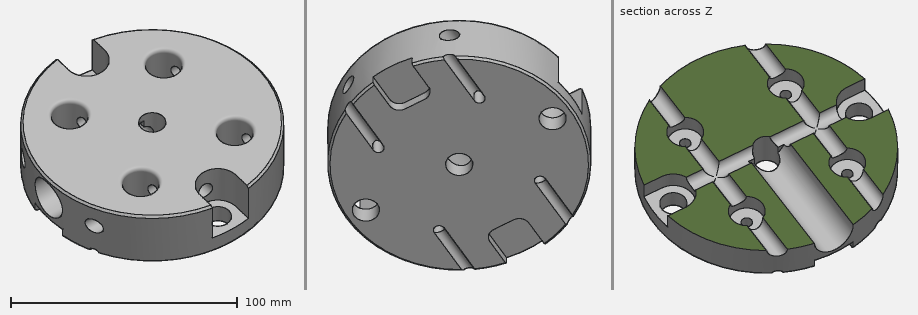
import cadquery as cq
import math

disc_diameter = 116.0
disc_height = 29.0
edge_chamfer = 1.0

bore_diameter = 12.0
pocket_spacing = 52.0
pocket_diameter = 16.0
pocket_lip_radius = 2.0
pocket_depth = 20.0
drain_diameter = 5.0

slot_width = 20.0
slot_depth = 20.0
slot_center_x = 48.0

bore_depth_below_top = 12.0
bore_level = disc_height - bore_depth_below_top
cross_bore_diameter = 8.0
port_diameter = 20.0

notch_width = 20.0
notch_height = 5.0
notch_corner_radius = 5.0
notch_length = 20.0

disc_radius = disc_diameter / 2
pocket_offset = pocket_spacing / 2
pocket_points = [(x, y) for x in (-pocket_offset, pocket_offset) for y in (-pocket_offset, pocket_offset)]


def make_disc():
    disc = cq.Workplane("XY").circle(disc_radius).extrude(disc_height)
    return disc.faces("<Z or >Z").edges().chamfer(edge_chamfer)


def bore_along_y(x, z, diameter, start_y, end_y):
    """Cylinder parallel to Y between two Y positions."""
    plane = cq.Workplane("XZ", origin=(x, start_y, z))
    return plane.circle(diameter / 2).extrude(start_y - end_y)


def cut_top_slots(body):
    """Round-ended slots, open to the rim at both X sides."""
    for side in (-1, 1):
        center_x = side * slot_center_x
        slot = cq.Workplane("XY").center(center_x, 0).circle(slot_width / 2).extrude(slot_depth)
        run_out = cq.Workplane("XY").center(center_x + side * slot_width / 2, 0)
        slot = slot.union(run_out.rect(slot_width, slot_width).extrude(slot_depth))
        body = body.cut(slot.translate((0, 0, disc_height - slot_depth)))
    return body


def cut_vertical_bores(body):
    """Centre bore and one bore in the floor of each top slot."""
    points = [(-slot_center_x, 0), (0, 0), (slot_center_x, 0)]
    bores = cq.Workplane("XY").pushPoints(points).circle(bore_diameter / 2).extrude(disc_height)
    return body.cut(bores)


def cut_pockets(body):
    """Round pockets with a rounded lip and a small through hole in the floor."""
    inner = pocket_diameter / 2
    outer = inner + pocket_lip_radius
    lip_middle = pocket_lip_radius * math.sqrt(0.5)
    floor_z = disc_height - pocket_depth
    pocket = (
        cq.Workplane("XZ")
        .moveTo(0, floor_z)
        .lineTo(inner, floor_z)
        .lineTo(inner, disc_height - pocket_lip_radius)
        .threePointArc(
            (outer - lip_middle, disc_height - pocket_lip_radius + lip_middle),
            (outer, disc_height),
        )
        .lineTo(0, disc_height)
        .close()
        .revolve(360, (0, 0, 0), (0, 1, 0))
    )
    drain = cq.Workplane("XY").circle(drain_diameter / 2).extrude(disc_height)
    tool = pocket.union(drain)
    for x, y in pocket_points:
        body = body.cut(tool.translate((x, y, 0)))
    return body


def cut_drain_grooves(body):
    """Half-round grooves in the bottom face, from each small hole out to the rim."""
    groove_radius = drain_diameter / 2
    for x, y in pocket_points:
        start_y = y if y > 0 else -disc_radius
        groove = (
            cq.Workplane("XZ", origin=(x, start_y, 0))
            .moveTo(-groove_radius, 0)
            .threePointArc((0, groove_radius), (groove_radius, 0))
            .close()
            .extrude(pocket_offset - disc_radius)
        )
        body = body.cut(groove)
    return body


def cut_cross_bores(body):
    """Through bores: one along X on the centre line, two along Y through the pockets."""
    x_bore = cq.Workplane("YZ", origin=(-disc_radius, 0, bore_level))
    body = body.cut(x_bore.circle(cross_bore_diameter / 2).extrude(disc_diameter))
    for x in (-pocket_offset, pocket_offset):
        body = body.cut(bore_along_y(x, bore_level, cross_bore_diameter, -disc_radius, disc_radius))
    return body


def cut_front_port(body):
    """Large blind bore from the -Y side, ending at the disc centre plane."""
    return body.cut(bore_along_y(0, bore_level, port_diameter, -disc_radius, 0))


def cut_bottom_notches(body):
    """Notches with rounded inner corners, open to the rim at both Y sides."""
    notch = cq.Workplane("XY").rect(notch_width, 2 * notch_length).extrude(notch_height)
    notch = notch.edges("|Z").fillet(notch_corner_radius)
    for side in (-1, 1):
        body = body.cut(notch.translate((0, side * disc_radius, 0)))
    return body


result = make_disc()
result = cut_top_slots(result)
result = cut_vertical_bores(result)
result = cut_drain_grooves(result)
result = cut_pockets(result)
result = cut_cross_bores(result)
result = cut_front_port(result)
result = cut_bottom_notches(result)